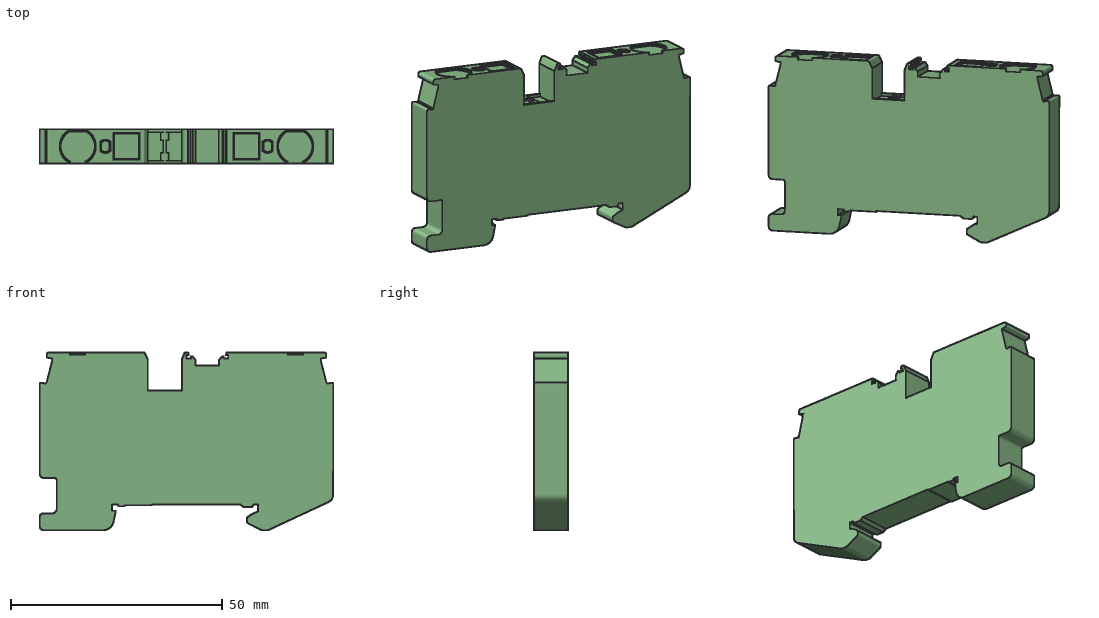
import cadquery as cq
import math


length = 69.5
width = 8.1
height = 42.1
mid_x = length / 2
mid_y = width / 2

lip_inset = 1.7
lip_radius = 0.6
lip_bottom = 40.9
lip_under_radius = 0.2
neck_inset = 3.0
neck_top = 40.6
neck_slope_top = 40.25
neck_foot_inset = 1.7
groove_inset = 1.4
groove_bottom = 34.75
shoulder_top = 35.0
shoulder_radius = 0.4

right_wall_lean = 0.1

slot_left = 25.65
slot_right = 33.65
slot_floor = 33.1
flare_bottom = 40.45
left_flare = 0.8
right_flare = 0.7
flare_radius = 0.4

marker_left = 35.3
marker_right = 44.05
snap_lean = 0.2
snap_tip_top = 41.7
snap_underside = 41.4
undercut_depth = 0.55
undercut_floor = 40.65
undercut_width = 1.05
ridge_top = 41.15
ridge_width = 0.4
channel_left = 36.9
channel_right = 42.4
channel_rim = 40.25
channel_floor = 39.0

body_bottom = 12.4
recess_depth = 4.0
recess_bottom = 4.0
recess_top_radius = 0.4
foot_radius = 1.05
foot_upper_radius = 0.9
left_foot_end = 18.1
left_foot_heel = 17.1
left_foot_heel_radius = 2.6
left_hook_top = 4.65
left_hook_undercut = 17.2

rail_seat = 6.1
left_pad_start = 18.55
left_pad_end = 20.15
left_pad_bottom = 5.7
shim_end = 26.55
shim_bottom = 5.9
right_pad_start = 47.4
right_pad_end = 50.7
right_pad_bottom = 5.5
right_pad_start_slope = 0.8
right_pad_end_slope = 0.4

right_hook_wall = 51.65
right_hook_top = 4.5
right_hook_bend_x = 50.4
right_hook_bend_z = 3.95
right_hook_tip = 49.0
right_hook_tip_top = 3.05
right_hook_tip_bottom = 1.8
right_hook_tip_radius = 0.6
right_foot_left = 52.55
right_foot_right = 54.0
right_foot_radius = 1.4
end_slope_angle = 25.0
end_slope_radius = 1.95

mouth_chamfer = 0.3
pocket_depth = 0.6
wire_entry_x = 9.05
wire_entry_radius = 4.0
wire_entry_flat = 3.5
wire_entry_notch = 3.55
test_hole_x = 15.6
test_hole_radius = 1.3
test_hole_flat = 1.0
driver_entry_x = 20.6
driver_entry_length = 5.8
driver_entry_width = 5.9

bridge_pocket_depth = 0.6
bridge_rim = 0.7
bridge_bar_left = 29.25
bridge_bar_right = 29.95
bridge_pad_length = 1.9


def rounded_outline(corners):
    """Closed wire in the XZ plane through (x, z, radius) corners; radius 0 keeps a corner sharp."""
    arcs = []
    for i, (x, z, radius) in enumerate(corners):
        corner = cq.Vector(x, z)
        before = cq.Vector(*corners[i - 1][:2])
        after = cq.Vector(*corners[(i + 1) % len(corners)][:2])
        to_before = (before - corner).normalized()
        to_after = (after - corner).normalized()
        half_angle = to_before.getAngle(to_after) / 2
        setback = radius / math.tan(half_angle)
        bisector = (to_before + to_after).normalized()
        apex = bisector * (radius / math.sin(half_angle) - radius)
        arcs.append((radius, corner + to_before * setback, corner + apex, corner + to_after * setback))

    outline = cq.Workplane("XZ").moveTo(*arcs[0][-1].toTuple()[:2])
    for radius, start, apex, end in arcs[1:] + arcs[:1]:
        outline = outline.lineTo(*start.toTuple()[:2])
        if radius:
            outline = outline.threePointArc(apex.toTuple()[:2], end.toTuple()[:2])
    return outline.close()


def housing():
    """Side profile of the whole block, extruded through its thickness."""
    end_corners = [
        (0, shoulder_top, shoulder_radius),
        (groove_inset, groove_bottom, 0),
        (neck_foot_inset, shoulder_top, 0),
        (neck_inset, neck_slope_top, 0),
        (neck_inset, neck_top, 0),
        (lip_inset, lip_bottom, lip_under_radius),
        (lip_inset, height, lip_radius),
    ]
    right_end = [(length - inset, z, radius) for inset, z, radius in reversed(end_corners)]

    slot = [
        (slot_left - left_flare, height, flare_radius),
        (slot_left, flare_bottom, 0),
        (slot_left, slot_floor, 0),
        (slot_right, slot_floor, 0),
        (slot_right, flare_bottom, 0),
        (slot_right + right_flare, height, flare_radius),
    ]

    marker_sides = [
        [
            (snap_x - toward * snap_lean, height, 0),
            (snap_x, snap_tip_top, 0),
            (snap_x, snap_underside, 0),
            (snap_x - toward * undercut_depth, snap_underside, 0),
            (snap_x - toward * undercut_depth, undercut_floor, 0),
            (snap_x + toward * (undercut_width - undercut_depth), undercut_floor, 0),
            (snap_x + toward * (undercut_width - undercut_depth), ridge_top, 0),
            (snap_x + toward * (undercut_width - undercut_depth + ridge_width), ridge_top, 0),
            (channel_x, channel_rim, 0),
            (channel_x, channel_floor, 0),
        ]
        for snap_x, toward, channel_x in [
            (marker_left, 1, channel_left),
            (marker_right, -1, channel_right),
        ]
    ]
    marker_groove = marker_sides[0] + marker_sides[1][::-1]

    wall_x = length - right_wall_lean
    slope_rise = (wall_x - right_foot_right) * math.tan(math.radians(end_slope_angle))
    right_foot = [
        (wall_x, slope_rise, end_slope_radius),
        (right_foot_right, 0, right_foot_radius),
        (right_foot_left, 0, right_foot_radius),
        (right_hook_tip, right_hook_tip_bottom, right_hook_tip_radius),
        (right_hook_tip, right_hook_tip_top, right_hook_tip_radius),
        (right_hook_bend_x, right_hook_bend_z, 0),
        (right_hook_wall, right_hook_top, 0),
        (right_hook_wall, rail_seat, 0),
    ]

    underside = [
        (right_pad_end, rail_seat, 0),
        (right_pad_end - right_pad_end_slope, right_pad_bottom, 0),
        (right_pad_start + right_pad_start_slope, right_pad_bottom, 0),
        (right_pad_start, rail_seat, 0),
        (shim_end, rail_seat, 0),
        (shim_end, shim_bottom, 0),
        (left_pad_end, shim_bottom, 0),
        (left_pad_end, left_pad_bottom, 0),
        (left_pad_start, left_pad_bottom, 0),
        (left_pad_start, rail_seat, 0),
    ]

    left_foot = [
        (left_hook_undercut, rail_seat, 0),
        (left_hook_undercut, left_hook_top, 0),
        (left_foot_end, left_hook_top, 0),
        (left_foot_heel, 0, left_foot_heel_radius),
        (0, 0, foot_radius),
        (0, recess_bottom, foot_upper_radius),
        (recess_depth, recess_bottom, foot_radius),
        (recess_depth, body_bottom, recess_top_radius),
        (0, body_bottom, foot_radius),
    ]

    corners = end_corners + slot + marker_groove + right_end + right_foot + underside + left_foot
    return rounded_outline(corners).extrude(-width)


def box(x_range, y_range, z_range):
    """Axis-aligned block between the given limits."""
    sizes = [high - low for low, high in (x_range, y_range, z_range)]
    return cq.Workplane("XY").box(*sizes, centered=False).translate((x_range[0], y_range[0], z_range[0]))


def flattened_disc(x, radius, flat_x, flat_y):
    """Floor of a round pocket, trimmed to half-widths flat_x and flat_y about its centre."""
    straight_depth = pocket_depth - mouth_chamfer
    disc = cq.Workplane("XY").circle(radius).extrude(straight_depth)
    trim = cq.Workplane("XY").rect(2 * flat_x, 2 * flat_y).extrude(straight_depth)
    return disc.intersect(trim).translate((x, mid_y, height - pocket_depth))


def with_mouth(cutter):
    """Pocket cutter continued up to the top face by a 45 degree chamfer."""
    return cutter.faces(">Z").wires().toPending().extrude(mouth_chamfer, taper=-45)


def top_pockets():
    """Cutters of the wire entry, test hole and driver entry on the left half of the top face."""
    wire_entry = with_mouth(
        flattened_disc(wire_entry_x, wire_entry_radius, wire_entry_radius, wire_entry_flat)
    )
    half_notch = wire_entry_notch / 2
    notch = box(
        (wire_entry_x - half_notch, wire_entry_x + half_notch),
        (0, mid_y),
        (height - pocket_depth, height),
    )
    test_hole = with_mouth(
        flattened_disc(test_hole_x, test_hole_radius, test_hole_flat, test_hole_radius)
    )
    half_length = driver_entry_length / 2
    half_width = driver_entry_width / 2
    driver_entry = with_mouth(
        box(
            (driver_entry_x - half_length, driver_entry_x + half_length),
            (mid_y - half_width, mid_y + half_width),
            (height - pocket_depth, height - mouth_chamfer),
        )
    )
    return [wire_entry, notch, test_hole, driver_entry]


def bridge_pocket(wall_x, bar_x):
    """Cutter of one slot-floor pocket, leaving quarter-round pads in its corners at the bar."""
    floor_z = slot_floor - bridge_pocket_depth
    y_range = (bridge_rim, width - bridge_rim)
    pocket = box((min(wall_x, bar_x), max(wall_x, bar_x)), y_range, (floor_z, slot_floor))
    pad_starts = (bridge_rim, width - bridge_rim - bridge_pad_length)
    for pad_start in pad_starts:
        pad = (
            cq.Workplane("XZ", origin=(bar_x, pad_start, floor_z))
            .circle(bridge_pocket_depth)
            .extrude(-bridge_pad_length)
        )
        pocket = pocket.cut(pad)
    return pocket


result = housing()
for cutter in top_pockets():
    result = result.cut(cutter)
    result = result.cut(cutter.mirror("YZ", (mid_x, 0, 0)))
for wall_x, bar_x in [(slot_left, bridge_bar_left), (slot_right, bridge_bar_right)]:
    result = result.cut(bridge_pocket(wall_x, bar_x))